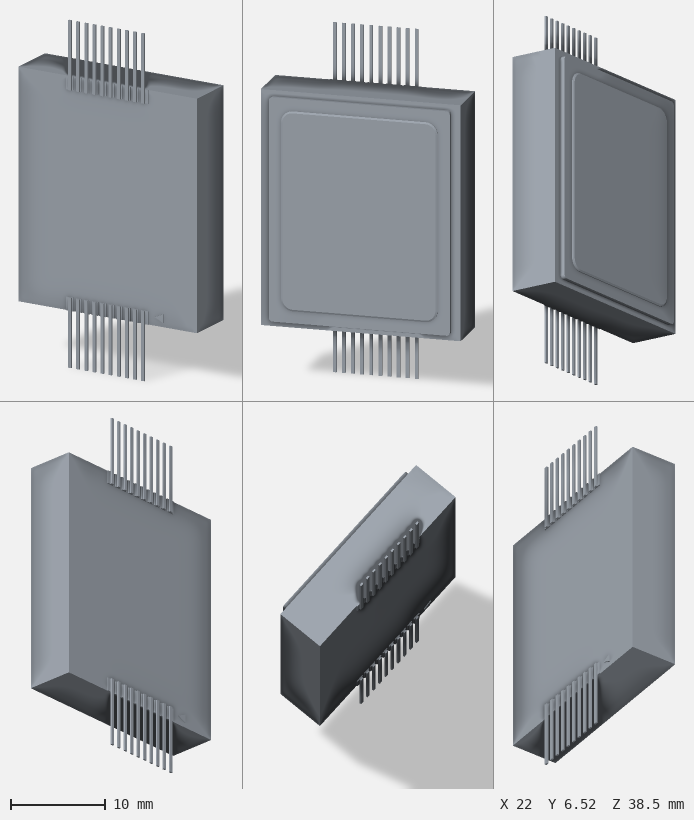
import cadquery as cq


CASE_WIDTH = 22.0
CASE_HEIGHT = 26.0
CASE_DEPTH = 5.5

LEADS_PER_ROW = 10
LEAD_PITCH = 1.0
LEAD_WIDTH = 0.37
LEAD_THICKNESS = 0.2
LEAD_TIP_HEIGHT = 19.25
PAD_LENGTH = 1.5
PAD_THICKNESS = 0.1
PAD_GAP = 0.3
END_PAD_OVERHANG = 0.55

MARK_TIP_X = 5.85
MARK_LENGTH = 1.05
MARK_WIDTH = 0.95
MARK_CENTRE_Z = -12.0

SEAL_WIDTH = 19.9
SEAL_HEIGHT = 24.7
SEAL_THICKNESS = 0.42
SEAL_CORNER_RADIUS = 0.4
LID_RIM_THICKNESS = 0.1
LID_RIM_MARGIN = 1.35
LID_RISE = 0.2
LID_CORNER_RADIUS = 1.3
LID_BEVEL_RISE = 0.1
LID_BEVEL_RUN = 0.2

PAD_BOTTOM_Z = CASE_HEIGHT / 2 - PAD_LENGTH
LID_WIDTH = SEAL_WIDTH - 2 * LID_RIM_MARGIN
LID_HEIGHT = SEAL_HEIGHT - 2 * LID_RIM_MARGIN


def block(x_range, y_range, z_range):
    """Axis-aligned block between the given limits."""
    size = [high - low for low, high in (x_range, y_range, z_range)]
    corner = (x_range[0], y_range[0], z_range[0])
    return cq.Workplane("XY").box(*size, centered=False).translate(corner)


def rounded_plate(width, height, radius, y_start, thickness):
    """Plate with rounded corners that grows from y_start toward +Y."""
    plate = cq.Workplane("XZ").rect(width, height).extrude(-thickness)
    return plate.edges("|Y").fillet(radius).translate((0, y_start, 0))


def make_lead_row():
    """Pads and leads of the top row; the pads end flush with the top of the case."""
    row_half = (LEADS_PER_ROW - 1) * LEAD_PITCH / 2
    pad_half = (LEAD_PITCH - PAD_GAP) / 2
    pad_y = (-PAD_THICKNESS, 0)
    lead_y = (-PAD_THICKNESS - LEAD_THICKNESS, -PAD_THICKNESS)
    parts = []
    for index in range(LEADS_PER_ROW):
        x = index * LEAD_PITCH - row_half
        is_first = index == 0
        is_last = index == LEADS_PER_ROW - 1
        pad_left = x - (END_PAD_OVERHANG if is_first else pad_half)
        pad_right = x + (END_PAD_OVERHANG if is_last else pad_half)
        pad = block((pad_left, pad_right), pad_y, (PAD_BOTTOM_Z, CASE_HEIGHT / 2))
        lead_x = (x - LEAD_WIDTH / 2, x + LEAD_WIDTH / 2)
        lead = block(lead_x, lead_y, (PAD_BOTTOM_Z, LEAD_TIP_HEIGHT))
        parts.append(pad.union(lead))
    return parts


def make_mark():
    """Raised triangle that points toward -X."""
    base_x = MARK_TIP_X + MARK_LENGTH
    corners = [
        (MARK_TIP_X, MARK_CENTRE_Z),
        (base_x, MARK_CENTRE_Z - MARK_WIDTH / 2),
        (base_x, MARK_CENTRE_Z + MARK_WIDTH / 2),
    ]
    return cq.Workplane("XZ").polyline(corners).close().extrude(PAD_THICKNESS)


def make_housing():
    """Case block with both lead rows and the arrowhead."""
    half_width = CASE_WIDTH / 2
    half_height = CASE_HEIGHT / 2
    housing = block((-half_width, half_width), (0, CASE_DEPTH), (-half_height, half_height))
    for lead in make_lead_row():
        housing = housing.union(lead).union(lead.mirror("XY"))
    return housing.union(make_mark())


def make_seal_frame():
    """Rounded plate between the case and the lid."""
    return rounded_plate(SEAL_WIDTH, SEAL_HEIGHT, SEAL_CORNER_RADIUS, CASE_DEPTH, SEAL_THICKNESS)


def make_lid():
    """Thin lid with a flat rim and a raised centre that has a bevelled edge."""
    rim_y = CASE_DEPTH + SEAL_THICKNESS
    raised_y = rim_y + LID_RIM_THICKNESS
    rim = rounded_plate(SEAL_WIDTH, SEAL_HEIGHT, SEAL_CORNER_RADIUS, rim_y, LID_RIM_THICKNESS)
    raised = rounded_plate(LID_WIDTH, LID_HEIGHT, LID_CORNER_RADIUS, raised_y, LID_RISE)
    raised = raised.faces(">Y").chamfer(LID_BEVEL_RISE, LID_BEVEL_RUN)
    return rim.union(raised)


housing = make_housing()
seal_frame = make_seal_frame()
lid = make_lid()

result = cq.Compound.makeCompound([housing.val(), seal_frame.val(), lid.val()])